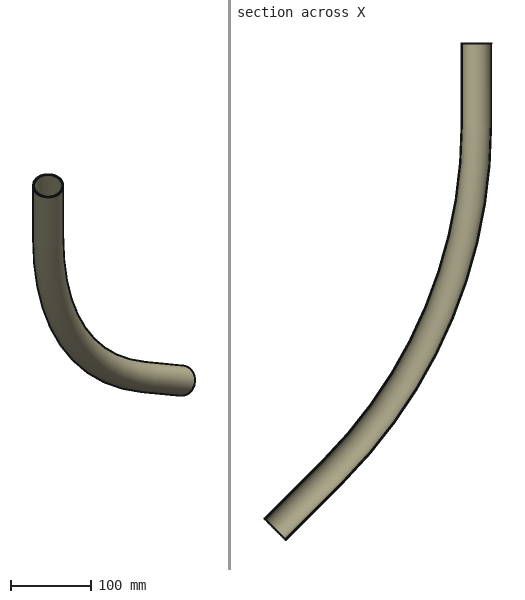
import cadquery as cq
import math

OUTER_DIAMETER = 38.1
INNER_DIAMETER = 34.9
BEND_RADIUS = 609.6
BEND_ANGLE = 45.0
STRAIGHT_LENGTH = 101.6


def point_on_bend(angle_degrees):
    """Centreline point (Y, Z) at an angle past the start of the bend."""
    angle = math.radians(angle_degrees)
    return (BEND_RADIUS * (1 - math.cos(angle)), -BEND_RADIUS * math.sin(angle))


def make_centreline():
    """Path in the YZ plane: straight down, bend toward +Y, then straight."""
    bend_angle = math.radians(BEND_ANGLE)
    bend_middle = point_on_bend(BEND_ANGLE / 2)
    bend_end = point_on_bend(BEND_ANGLE)
    lower_end = (
        bend_end[0] + STRAIGHT_LENGTH * math.sin(bend_angle),
        bend_end[1] - STRAIGHT_LENGTH * math.cos(bend_angle),
    )
    return (
        cq.Workplane("YZ")
        .moveTo(0, STRAIGHT_LENGTH)
        .lineTo(0, 0)
        .threePointArc(bend_middle, bend_end)
        .lineTo(*lower_end)
    )


def make_tube():
    """Sweep the ring-shaped wall section along the centreline."""
    wall_section = (
        cq.Workplane("XY", origin=(0, 0, STRAIGHT_LENGTH))
        .circle(OUTER_DIAMETER / 2)
        .circle(INNER_DIAMETER / 2)
    )
    return wall_section.sweep(make_centreline())


result = make_tube()